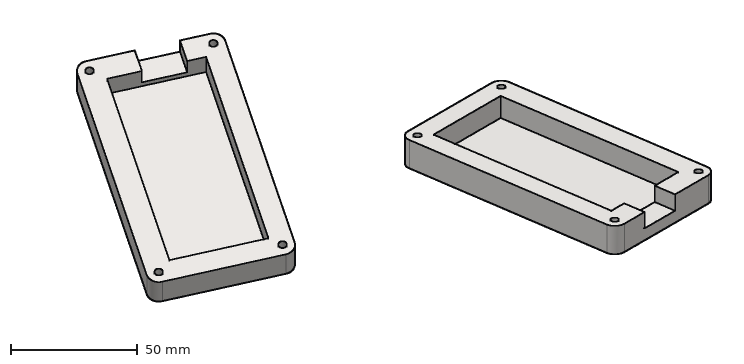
import cadquery as cq

length = 112.7
width = 60.6
height = 13.0
corner_radius = 5.0

wall_left = 10.6
wall_right = 9.5
wall_front = 10.6
wall_back = 9.5
pocket_depth = 10.0

notch_width = 18.5
notch_depth = 7.4
notch_back_offset = 17.2

hole_diameter = 3.4

left = -length / 2
front = -width / 2
back = width / 2


def top_cut(x_start, y_start, x_size, y_size, depth):
    """Box that reaches down from the top face by the given depth."""
    return (
        cq.Workplane("XY")
        .box(x_size, y_size, depth, centered=False)
        .translate((x_start, y_start, height - depth))
    )


body = (
    cq.Workplane("XY")
    .box(length, width, height, centered=(True, True, False))
    .edges("|Z")
    .fillet(corner_radius)
)

pocket = top_cut(
    left + wall_left,
    front + wall_front,
    length - wall_left - wall_right,
    width - wall_front - wall_back,
    pocket_depth,
)

notch = top_cut(
    left,
    back - notch_back_offset - notch_width,
    wall_left,
    notch_width,
    notch_depth,
)

holes = (
    cq.Workplane("XY")
    .rect(length - 2 * corner_radius, width - 2 * corner_radius, forConstruction=True)
    .vertices()
    .circle(hole_diameter / 2)
    .extrude(height)
)

result = body.cut(pocket).cut(notch).cut(holes)